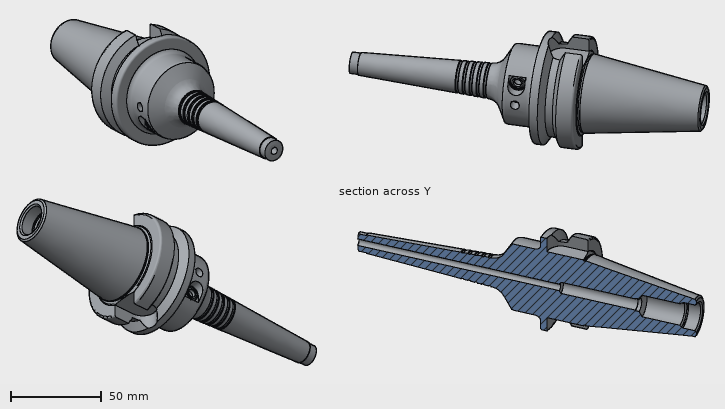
import cadquery as cq
import math

TOTAL_LENGTH = 200.5
TAPER_END = 65.5
RELIEF_END = 66.5
RELIEF_STEP = 67.0
FLANGE_START = 67.3
GROOVE_START = 77.0
GROOVE_FLOOR_START = 80.0
GROOVE_FLOOR_END = 84.2
GROOVE_END = 87.4
FLANGE_END = 92.4
BODY_START = 95.5
BODY_END = 108.0
SHOULDER_START = 109.5
TIP_START = 195.2

TAPER_SMALL_RADIUS = 12.6
TAPER_SLOPE = 7 / 48
TAPER_CHAMFER_LENGTH = 0.8
TAPER_CHAMFER_HEIGHT = 1.0
RELIEF_RADIUS = 43.5 / 2
RELIEF_STEP_RADIUS = 23.2
RELIEF_MOUTH_RADIUS = 23.8
FLANGE_RADIUS = 63.0 / 2
FLANGE_ROUNDING = 1.2
GROOVE_RADIUS = 26.5

BODY_FLARE_RADIUS = 24.6
BODY_RADIUS = 45.0 / 2
SHOULDER_ANGLE = 60.0
SHOULDER_RADIUS = 22.2
SHOULDER_FILLET = 8.0
STEM_RADIUS = 10.2
STEM_END_RADIUS = 6.5
TIP_RADIUS = 6.0
TIP_CHAMFER_LENGTH = 0.5
TIP_END_RADIUS = 3.6

RING_COUNT = 5
RING_START = 121.5
RING_PITCH = 4.0
RING_WIDTH = 1.8
RING_DEPTH = 0.5

SLOT_WIDTH = 16.2
SLOT_END = 88.4
SLOT_FLOOR = 22.5

MOUTH_RADIUS = 9.5
PILOT_RADIUS = 17.0 / 2
PILOT_DEPTH = 8.0
STEP_RADIUS = 16.0 / 2
STEP_LENGTH = 0.8
THREAD_RADIUS = 14.2 / 2
THREAD_END = 32.0
COOLANT_RADIUS = 8.0 / 2
COOLANT_STEP = 36.0
COOLANT_STEP_RADIUS = 7.2 / 2
COOLANT_END = 80.2
THROUGH_BORE_RADIUS = 4.0 / 2
DRILL_POINT_ANGLE = 118.0

SCREW_X = 102.2
POCKET_WIDTH = 9.5
SCREW_OFFSET = 11.6
SEAT_DISTANCE = 16.0
SCREW_RADIUS = 8.5 / 2
SCREW_FACE_RADIUS = 3.2
SCREW_CHAMFER_DEPTH = 1.0
SOCKET_RADIUS = 4.6 / 2
SOCKET_DEPTH = 2.0
SIDE_HOLE_RADIUS = 5.0 / 2
SIDE_HOLE_DEPTH = 5.0
SIDE_HOLE_INNER_RADIUS = 3.0 / 2
SIDE_HOLE_INNER_DEPTH = 7.0
SIDE_HOLE_OFFSET = 1.0
SIDE_HOLE_TILT = 10.0

POINT_RATIO = 1 / math.tan(math.radians(DRILL_POINT_ANGLE / 2))

SHOULDER_LENGTH = (SHOULDER_RADIUS - STEM_RADIUS) / math.tan(math.radians(SHOULDER_ANGLE))
STEM_START = SHOULDER_START + SHOULDER_LENGTH

AXIS_START = (0, 0, 0)
AXIS_END = (1, 0, 0)


def turn(half_profile):
    """Revolve a closed profile, drawn as (x, radius), about the tool axis."""
    return half_profile.close().revolve(360, AXIS_START, AXIS_END)


def taper_radius(x):
    return TAPER_SMALL_RADIUS + x * TAPER_SLOPE


def ring_edges_at(x):
    """Selector for circular edges centred on the tool axis at station x."""
    near = 0.1
    return cq.selectors.BoxSelector((x - near, -near, -near), (x + near, near, near))


def stem_radius(x):
    fraction = (x - STEM_START) / (TIP_START - STEM_START)
    return STEM_RADIUS + fraction * (STEM_END_RADIUS - STEM_RADIUS)


def turned_body():
    flare_length = BODY_START - FLANGE_END
    flare_height = BODY_FLARE_RADIUS - BODY_RADIUS
    flare_arc_radius = (flare_length**2 + flare_height**2) / (2 * flare_height)
    mid_rise = flare_arc_radius - math.sqrt(flare_arc_radius**2 - (flare_length / 2) ** 2)
    flare_middle = (FLANGE_END + flare_length / 2, BODY_RADIUS + mid_rise)

    profile = (
        cq.Workplane("XY")
        .lineTo(0, TAPER_SMALL_RADIUS - TAPER_CHAMFER_HEIGHT)
        .lineTo(TAPER_CHAMFER_LENGTH, taper_radius(TAPER_CHAMFER_LENGTH))
        .lineTo(TAPER_END, taper_radius(TAPER_END))
        .lineTo(TAPER_END, RELIEF_RADIUS)
        .lineTo(RELIEF_END, RELIEF_RADIUS)
        .lineTo(RELIEF_STEP, RELIEF_STEP_RADIUS)
        .lineTo(FLANGE_START, RELIEF_MOUTH_RADIUS)
        .lineTo(FLANGE_START, FLANGE_RADIUS - FLANGE_ROUNDING)
        .tangentArcPoint((FLANGE_START + FLANGE_ROUNDING, FLANGE_RADIUS), relative=False)
        .lineTo(GROOVE_START, FLANGE_RADIUS)
        .lineTo(GROOVE_FLOOR_START, GROOVE_RADIUS)
        .lineTo(GROOVE_FLOOR_END, GROOVE_RADIUS)
        .lineTo(GROOVE_END, FLANGE_RADIUS)
        .lineTo(FLANGE_END - FLANGE_ROUNDING, FLANGE_RADIUS)
        .tangentArcPoint((FLANGE_END, FLANGE_RADIUS - FLANGE_ROUNDING), relative=False)
        .lineTo(FLANGE_END, BODY_FLARE_RADIUS)
        .threePointArc(flare_middle, (BODY_START, BODY_RADIUS))
        .lineTo(BODY_END, BODY_RADIUS)
        .lineTo(SHOULDER_START, SHOULDER_RADIUS)
        .lineTo(STEM_START, STEM_RADIUS)
        .lineTo(TIP_START, STEM_END_RADIUS)
        .lineTo(TIP_START, TIP_RADIUS)
        .lineTo(TOTAL_LENGTH - TIP_CHAMFER_LENGTH, TIP_RADIUS)
        .lineTo(TOTAL_LENGTH, TIP_END_RADIUS)
        .lineTo(TOTAL_LENGTH, 0)
    )
    body = turn(profile)
    return body.edges(ring_edges_at(STEM_START)).fillet(SHOULDER_FILLET)


def stem_groove(start):
    """Shallow trapezoidal groove with sloping sides."""
    end = start + RING_WIDTH
    clear_radius = SHOULDER_RADIUS
    return turn(
        cq.Workplane("XY")
        .moveTo(start, clear_radius)
        .lineTo(start, stem_radius(start))
        .lineTo(start + RING_DEPTH, stem_radius(start) - RING_DEPTH)
        .lineTo(end - RING_DEPTH, stem_radius(end) - RING_DEPTH)
        .lineTo(end, stem_radius(end))
        .lineTo(end, clear_radius)
    )


def central_bore():
    thread_start = PILOT_DEPTH + STEP_LENGTH
    thread_point = THREAD_END + POINT_RATIO * (THREAD_RADIUS - COOLANT_RADIUS)
    coolant_point = COOLANT_END + POINT_RATIO * (COOLANT_STEP_RADIUS - THROUGH_BORE_RADIUS)
    return turn(
        cq.Workplane("XY")
        .lineTo(0, MOUTH_RADIUS)
        .lineTo(MOUTH_RADIUS - PILOT_RADIUS, PILOT_RADIUS)
        .lineTo(PILOT_DEPTH, PILOT_RADIUS)
        .lineTo(PILOT_DEPTH, STEP_RADIUS)
        .lineTo(thread_start, STEP_RADIUS)
        .lineTo(thread_start + STEP_RADIUS - THREAD_RADIUS, THREAD_RADIUS)
        .lineTo(THREAD_END, THREAD_RADIUS)
        .lineTo(thread_point, COOLANT_RADIUS)
        .lineTo(COOLANT_STEP, COOLANT_RADIUS)
        .lineTo(COOLANT_STEP, COOLANT_STEP_RADIUS)
        .lineTo(COOLANT_END, COOLANT_STEP_RADIUS)
        .lineTo(coolant_point, THROUGH_BORE_RADIUS)
        .lineTo(TOTAL_LENGTH, THROUGH_BORE_RADIUS)
        .lineTo(TOTAL_LENGTH, 0)
    )


def drive_slot():
    """Slot from the end of the taper into the flange, with a round end."""
    half_width = SLOT_WIDTH / 2
    arc_start = SLOT_END - half_width
    return (
        cq.Workplane("XY", origin=(0, 0, SLOT_FLOOR))
        .moveTo(TAPER_END, -half_width)
        .lineTo(arc_start, -half_width)
        .threePointArc((SLOT_END, 0), (arc_start, half_width))
        .lineTo(TAPER_END, half_width)
        .close()
        .extrude(FLANGE_RADIUS)
    )


def screw_pocket():
    """Flat seat facing -Y: round on the axis side, open toward -Z."""
    half_width = POCKET_WIDTH / 2
    return (
        cq.Workplane("XZ", origin=(SCREW_X, -SEAT_DISTANCE, -SCREW_OFFSET))
        .moveTo(-half_width, -BODY_RADIUS)
        .lineTo(-half_width, 0)
        .threePointArc((0, half_width), (half_width, 0))
        .lineTo(half_width, -BODY_RADIUS)
        .close()
        .extrude(BODY_RADIUS)
    )


def spun_cut(outline):
    """Revolve (radius, depth) points about a hole axis pointing into the part along +Y."""
    return cq.Workplane("XY").polyline(outline).close().revolve(360, AXIS_START, (0, 1, 0))


def screw_end():
    """Chamfer around the screw and the drilled socket in its end."""
    chamfer = spun_cut([(SCREW_RADIUS, 0), (SCREW_RADIUS, SCREW_CHAMFER_DEPTH), (SCREW_FACE_RADIUS, 0)])
    socket = spun_cut([
        (0, 0),
        (SOCKET_RADIUS, 0),
        (SOCKET_RADIUS, SOCKET_DEPTH),
        (0, SOCKET_DEPTH + POINT_RATIO * SOCKET_RADIUS),
    ])
    return chamfer.union(socket).translate((SCREW_X, -SEAT_DISTANCE, -SCREW_OFFSET))


def side_hole():
    """Stepped blind hole with a drill point, leaning toward -Z as it goes in."""
    outside = -SIDE_HOLE_RADIUS
    hole = spun_cut([
        (0, outside),
        (SIDE_HOLE_RADIUS, outside),
        (SIDE_HOLE_RADIUS, SIDE_HOLE_DEPTH),
        (SIDE_HOLE_INNER_RADIUS, SIDE_HOLE_DEPTH),
        (SIDE_HOLE_INNER_RADIUS, SIDE_HOLE_INNER_DEPTH),
        (0, SIDE_HOLE_INNER_DEPTH + POINT_RATIO * SIDE_HOLE_INNER_RADIUS),
    ])
    leaning = hole.rotate(AXIS_START, AXIS_END, -SIDE_HOLE_TILT)
    return leaning.translate((SCREW_X, -BODY_RADIUS, -SIDE_HOLE_OFFSET))


result = turned_body().cut(central_bore())

for ring in range(RING_COUNT):
    result = result.cut(stem_groove(RING_START + ring * RING_PITCH))

for angle in (0, 180):
    for feature in (drive_slot(), screw_pocket(), screw_end(), side_hole()):
        result = result.cut(feature.rotate(AXIS_START, AXIS_END, angle))